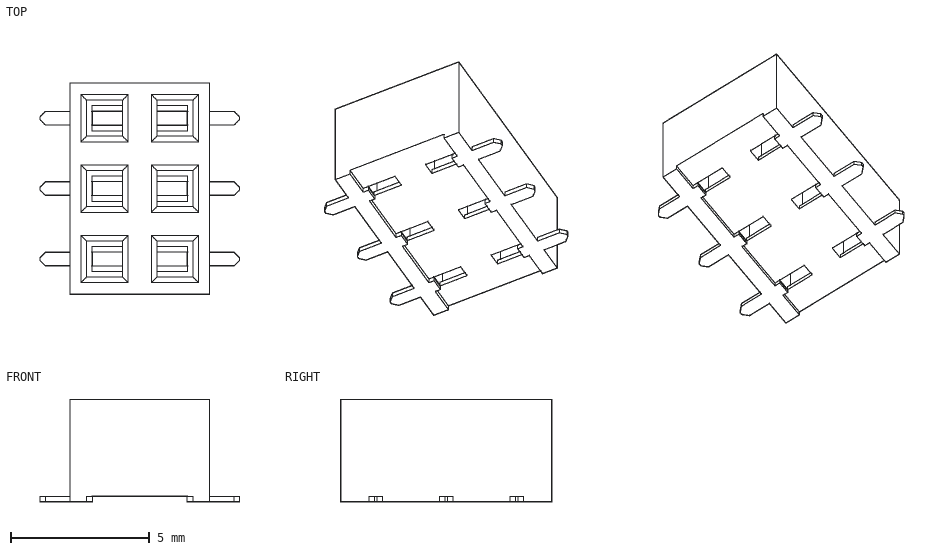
import cadquery as cq

ROWS = 3
LENGTH_Y = 7.62
PITCH = LENGTH_Y / ROWS

BODY_WIDTH = 5.04
HEIGHT = 3.7
FOOT_WIDTH = 0.6
FOOT_HEIGHT = 0.2
CHANNEL_WIDTH = BODY_WIDTH - 2 * FOOT_WIDTH

SPAN_X = 7.2
PIN_LENGTH = 1.9
PIN_WIDTH = 0.495
PIN_THICKNESS = FOOT_HEIGHT
PIN_POINT = 0.2

MOUTH_SIZE = 1.71
MOUTH_DEPTH = 0.2
BEVEL = 0.205
MOUTH_FLOOR_SIZE = MOUTH_SIZE - 2 * BEVEL
LEDGE = 0.19
WELL_LENGTH = MOUTH_FLOOR_SIZE - LEDGE
WELL_WIDTH = MOUTH_FLOOR_SIZE - 2 * LEDGE
WELL_FLOOR = 2 * FOOT_HEIGHT

ROW_POSITIONS = [(row - (ROWS - 1) / 2) * PITCH for row in range(ROWS)]
SIDES = (-1, 1)


def upright_block(size_x, size_y, bottom, top):
    """Block centred on the Z axis between two heights."""
    block = cq.Workplane("XY").box(size_x, size_y, top - bottom, centered=(True, True, False))
    return block.translate((0, 0, bottom))


def make_housing():
    block = upright_block(BODY_WIDTH, LENGTH_Y, 0, HEIGHT)
    channel = upright_block(CHANNEL_WIDTH, LENGTH_Y, 0, FOOT_HEIGHT)
    return block.cut(channel)


def make_socket(side):
    """Opening centred on the Z axis; the well meets the mouth wall nearest the middle of the part."""
    mouth = (
        cq.Workplane("XY")
        .workplane(offset=HEIGHT)
        .rect(MOUTH_SIZE, MOUTH_SIZE)
        .workplane(offset=-MOUTH_DEPTH)
        .rect(MOUTH_FLOOR_SIZE, MOUTH_FLOOR_SIZE)
        .loft(combine=True)
    )
    well = upright_block(WELL_LENGTH, WELL_WIDTH, WELL_FLOOR, HEIGHT - MOUTH_DEPTH)
    slot = upright_block(WELL_LENGTH, PIN_WIDTH, FOOT_HEIGHT, WELL_FLOOR)
    well_shift = -side * LEDGE / 2
    return mouth.union(well.union(slot).translate((well_shift, 0, 0)))


def make_pin(side):
    """Pin centred on Y = 0 with its pointed end outward on the given side."""
    pin = upright_block(PIN_LENGTH, PIN_WIDTH, 0, PIN_THICKNESS)
    outer_end = ">X" if side > 0 else "<X"
    pin = pin.faces(outer_end).edges("|Z").chamfer(PIN_POINT)
    return pin.translate((side * (SPAN_X - PIN_LENGTH) / 2, 0, 0))


result = make_housing()
for side in SIDES:
    socket = make_socket(side).translate((side * PITCH / 2, 0, 0))
    pin = make_pin(side)
    for row_y in ROW_POSITIONS:
        result = result.cut(socket.translate((0, row_y, 0)))
        result = result.union(pin.translate((0, row_y, 0)))